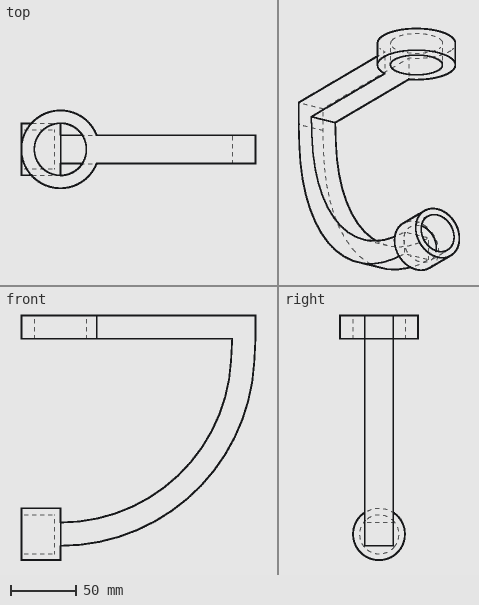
import cadquery as cq
import math

length = 180.0
height = 188.0

ring_diameter = 60.0
ring_bore = 40.0
arm_thickness = 18.0
arm_width = 22.0
ring_x = ring_diameter / 2
bar_bottom = height - arm_thickness

cup_diameter = 40.0
cup_bore = 30.0
cup_length = 30.0
cup_z = cup_diameter / 2

arc_radius = 140.0
lean_angle = 3.0
arc_center_z = cup_z + arc_radius


def cylinder(diameter, depth):
    return cq.Workplane("XY").circle(diameter / 2).extrude(depth)


def make_ring_and_bar():
    ring = cylinder(ring_diameter, arm_thickness).translate((ring_x, 0, bar_bottom))
    bar = cq.Workplane("XY").box(
        length - ring_x, arm_width, arm_thickness, centered=(False, True, False)
    ).translate((ring_x, 0, bar_bottom))
    bore = cylinder(ring_bore, arm_thickness).translate((ring_x, 0, bar_bottom))
    return ring.union(bar).cut(bore)


def arc_point(radius, angle):
    """Point at an angle below horizontal on an arc of the curved arm."""
    return (
        cup_length + radius * math.cos(math.radians(angle)),
        arc_center_z - radius * math.sin(math.radians(angle)),
    )


def upper_end(radius):
    """Point where the leaning straight meets the underside of the bar."""
    x, z = arc_point(radius, lean_angle)
    return (x + (bar_bottom - z) * math.tan(math.radians(lean_angle)), bar_bottom)


def make_curved_arm():
    outer = arc_radius + arm_thickness / 2
    inner = arc_radius - arm_thickness / 2
    middle_angle = (90 + lean_angle) / 2
    return (
        cq.Workplane("XZ")
        .moveTo(*arc_point(outer, 90))
        .threePointArc(arc_point(outer, middle_angle), arc_point(outer, lean_angle))
        .lineTo(*upper_end(outer))
        .lineTo(*upper_end(inner))
        .lineTo(*arc_point(inner, lean_angle))
        .threePointArc(arc_point(inner, middle_angle), arc_point(inner, 90))
        .close()
        .extrude(arm_width / 2, both=True)
    )


def make_cup():
    floor = (cup_diameter - cup_bore) / 2
    axis_plane = cq.Workplane("YZ", origin=(0, 0, cup_z))
    body = axis_plane.circle(cup_diameter / 2).extrude(cup_length)
    pocket = axis_plane.circle(cup_bore / 2).extrude(cup_length - floor)
    return body.cut(pocket)


result = make_ring_and_bar().union(make_curved_arm()).union(make_cup())